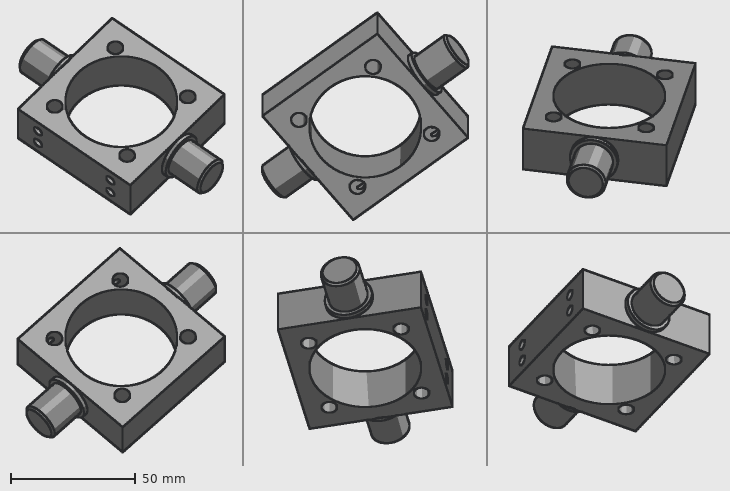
import cadquery as cq

block_side = 59.0
block_height = 20.0
bore_diameter = 45.0

hole_spacing = 38.0
mounting_hole_diameter = 6.3

side_hole_diameter = 4.2
side_hole_pitch = 8.0
side_hole_depth = (block_side - hole_spacing) / 2

overall_length = 95.0
trunnion_diameter = 16.0
trunnion_chamfer = 0.95
collar_diameter = 19.5
collar_thickness = 2.0


def make_block():
    """Square block with the large bore and four mounting holes."""
    block = cq.Workplane("XY").box(block_side, block_side, block_height)
    block = block.faces(">Z").workplane().hole(bore_diameter)
    return (
        block.faces(">Z")
        .workplane(origin=(0, 0, 0))
        .rect(hole_spacing, hole_spacing, forConstruction=True)
        .vertices()
        .hole(mounting_hole_diameter)
    )


def make_trunnion(direction):
    """Collar and chamfered pin on the +X (1) or -X (-1) face."""
    face_x = direction * block_side / 2
    pin_length = (overall_length - block_side) / 2
    face_plane = cq.Workplane("YZ", origin=(face_x, 0, 0))
    collar = face_plane.circle(collar_diameter / 2).extrude(direction * collar_thickness)
    pin = face_plane.circle(trunnion_diameter / 2).extrude(direction * pin_length)
    outer_face = ">X" if direction > 0 else "<X"
    return collar.union(pin.faces(outer_face).chamfer(trunnion_chamfer))


def make_side_holes():
    """Cutters for the four holes entering the -Y face."""
    return (
        cq.Workplane("XZ", origin=(0, -block_side / 2, 0))
        .rect(hole_spacing, side_hole_pitch, forConstruction=True)
        .vertices()
        .circle(side_hole_diameter / 2)
        .extrude(-side_hole_depth)
    )


result = make_block()
for direction in (-1, 1):
    result = result.union(make_trunnion(direction))
result = result.cut(make_side_holes())